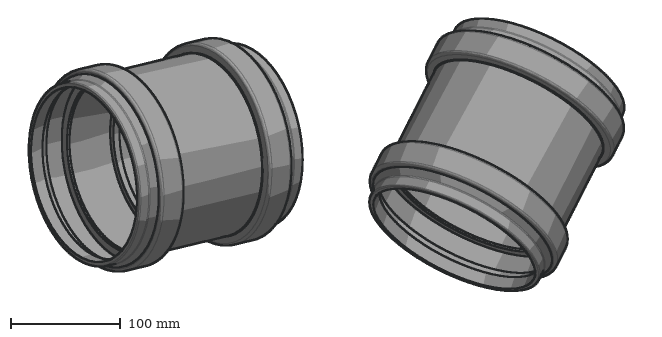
import cadquery as cq

LENGTH = 184.5
RING_RADIUS = 188.4 / 2
PIPE_RADIUS = 170.0 / 2
LIP_RADIUS = 171.3 / 2
CONE_RADIUS = 179.4 / 2
BORE_RADIUS = 151.0 / 2
SOCKET_RADIUS = 161.0 / 2
MOUTH_RADIUS = 162.2 / 2

LIP_LENGTH = 10.5
CONE_END = 18.0
RING_END = 44.0
RING_BACK_END = 45.5
RING_FILLET = 2.8
LIP_FILLET = 1.1
NECK_FILLET = 2.6
PIPE_FILLET = 0.5

FLARE_START = 12.8
GROOVE_START = 19.8
GROOVE_END = 40.9
LEAD_IN_END = 43.0
STOP_WIDTH = 6.8

FLARE_RADIUS = 84.5
GROOVE_RADIUS = 89.7
LEAD_IN_RADIUS = 81.5

HALF_LENGTH = LENGTH / 2
SOCKET_DEPTH = HALF_LENGTH - STOP_WIDTH / 2

PICK_MARGIN = 0.2


def revolve_profile(points):
    """Revolve (radius, distance from the end) points about Y, at the -Y end."""
    outline = [(radius, depth - HALF_LENGTH) for radius, depth in points]
    return cq.Workplane("XY").polyline(outline).close().revolve(360, (0, 0), (0, 1))


def round_edges(body, radius, depth, fillet):
    """Fillet the circular edge at the given radius and distance from the end."""
    y = depth - HALF_LENGTH
    reach = radius + PICK_MARGIN
    box = cq.selectors.BoxSelector(
        (-reach, y - PICK_MARGIN, -reach),
        (reach, y + PICK_MARGIN, reach),
        boundingbox=True,
    )
    largest = cq.selectors.RadiusNthSelector(-1)
    return body.edges("%CIRCLE").edges(box).edges(largest).fillet(fillet)


def outer_half():
    """Solid envelope of one half: lip, flared neck, seal ring housing and pipe."""
    body = revolve_profile([
        (0, 0),
        (LIP_RADIUS, 0),
        (LIP_RADIUS, LIP_LENGTH),
        (CONE_RADIUS, CONE_END),
        (RING_RADIUS, CONE_END),
        (RING_RADIUS, RING_END),
        (PIPE_RADIUS, RING_BACK_END),
        (PIPE_RADIUS, HALF_LENGTH),
        (0, HALF_LENGTH),
    ])
    body = round_edges(body, RING_RADIUS, CONE_END, RING_FILLET)
    body = round_edges(body, RING_RADIUS, RING_END, RING_FILLET)
    body = round_edges(body, LIP_RADIUS, LIP_LENGTH, NECK_FILLET)
    body = round_edges(body, PIPE_RADIUS, RING_BACK_END, PIPE_FILLET)
    return round_edges(body, LIP_RADIUS, 0, LIP_FILLET)


def inner_half():
    """Socket cavity of one half: mouth, flare, seal groove, lead-in and socket up to the stop."""
    return revolve_profile([
        (0, 0),
        (MOUTH_RADIUS, 0),
        (MOUTH_RADIUS, FLARE_START),
        (FLARE_RADIUS, GROOVE_START),
        (GROOVE_RADIUS, GROOVE_START),
        (GROOVE_RADIUS, GROOVE_END),
        (LEAD_IN_RADIUS, GROOVE_END),
        (SOCKET_RADIUS, LEAD_IN_END),
        (SOCKET_RADIUS, SOCKET_DEPTH),
        (0, SOCKET_DEPTH),
    ])


def both_ends(half):
    """Join a half with its mirror image across the middle plane."""
    return half.union(half.mirror("XZ"))


sleeve = both_ends(outer_half())
sockets = both_ends(inner_half())

bore = cq.Workplane("XZ", origin=(0, -HALF_LENGTH, 0)).circle(BORE_RADIUS).extrude(-LENGTH)

result = sleeve.cut(sockets).cut(bore)